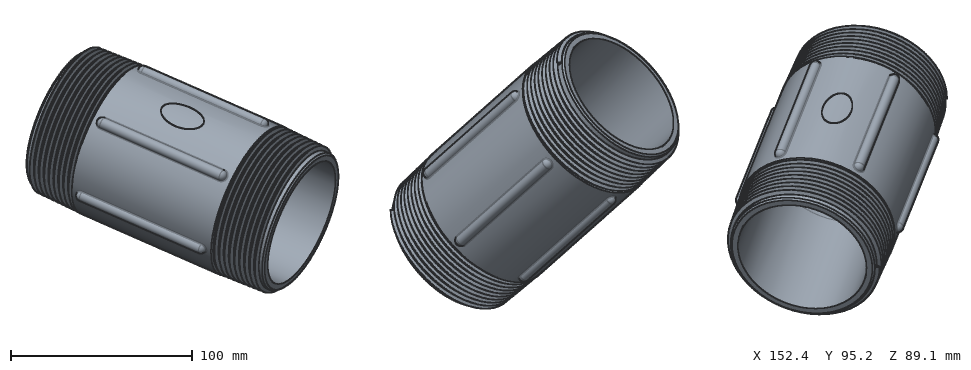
import cadquery as cq
import math

length = 152.4
bore_diameter = 73.2
grip_diameter = 88.8
grip_length = 89.0

end_root_radius = 41.0
end_chamfer = 1.0
taper_slope = 1 / 32
thread_turns = 9.5
thread_length = 30.2
thread_start = 2.6
ridge_height = 2.3
ridge_base_width = 2.3
ridge_crest_width = 0.2
ridge_sink = 0.5

rib_count = 6
rib_span = 95.2
rib_straight_length = 76.2
rib_fillet = 0.5

pad_length = 25.9
pad_width = 16.0
pad_height = 0.3

grip_radius = grip_diameter / 2
rib_radius = (rib_span - grip_diameter) / 2
end_length = (length - grip_length) / 2
thread_pitch = thread_length / thread_turns
inner_root_radius = end_root_radius + taper_slope * end_length


def bar_along_x(radius, bar_length):
    """Solid cylinder on the X axis, centred on the origin."""
    return cq.Workplane("YZ").circle(radius).extrude(bar_length / 2, both=True)


def make_rib():
    """Round-ended bar lying on the grip surface at +Y."""
    rib = bar_along_x(rib_radius, rib_straight_length).rotate((0, 0, 0), (1, 0, 0), 180)
    for side in (-1, 1):
        cap = cq.Workplane("XZ").sphere(rib_radius).rotate((0, 0, 0), (0, 1, 0), 90 * (1 + side))
        rib = rib.union(cap.translate((side * rib_straight_length / 2, 0, 0)))
    return rib.translate((0, grip_radius, 0))


def is_rib_foot(edge):
    """True for an edge where a rib meets the grip surface."""
    tolerance = 0.002
    points = [edge.positionAt(t) for t in (0, 0.5, 1)]
    on_surface = all(abs(math.hypot(p.y, p.z) - grip_radius) < tolerance for p in points)
    return on_surface and all(abs(p.x) < grip_length / 2 - rib_fillet for p in points)


def make_grip():
    """Smooth middle section with its ribs and their root fillets."""
    grip = bar_along_x(grip_radius, grip_length).rotate((0, 0, 0), (1, 0, 0), 180 / rib_count)
    rib = make_rib()
    for index in range(rib_count):
        grip = grip.union(rib.rotate((0, 0, 0), (1, 0, 0), index * 360 / rib_count))
    feet = [edge for edge in grip.edges().vals() if is_rib_foot(edge)]
    return grip.newObject(feet).fillet(rib_fillet)


def make_pad():
    """Oval plug from the pipe axis up to just above the grip at +Z, with a curved top."""
    oval = cq.Workplane("XY").ellipse(pad_length / 2, pad_width / 2).extrude(grip_diameter)
    return oval.intersect(bar_along_x(grip_radius + pad_height, grip_length))


def make_root_cone():
    """Chamfered, tapered core of the left end, reaching into the grip."""
    outline = [
        (-length / 2, 0),
        (-length / 2, end_root_radius - end_chamfer),
        (-length / 2 + end_chamfer, end_root_radius),
        (-grip_length / 2, inner_root_radius),
        (-grip_length / 2, 0),
    ]
    return cq.Workplane("XY").polyline(outline).close().revolve(360, (0, 0, 0), (1, 0, 0))


def make_thread_ridge():
    """Right-handed ridge of the left end, starting at +Y near the pipe end."""
    foot_radius = end_root_radius + taper_slope * thread_start - ridge_sink
    taper_angle = math.degrees(math.atan(taper_slope))
    path = cq.Wire.makeHelix(thread_pitch, thread_length, foot_radius, angle=taper_angle)
    half_base = ridge_base_width / 2
    half_crest = ridge_crest_width / 2
    profile = [
        (foot_radius, -half_base),
        (foot_radius + ridge_sink, -half_base),
        (foot_radius + ridge_sink + ridge_height, -half_crest),
        (foot_radius + ridge_sink + ridge_height, half_crest),
        (foot_radius + ridge_sink, half_base),
        (foot_radius, half_base),
    ]
    ridge = cq.Workplane("XZ").polyline(profile).close().sweep(cq.Workplane(obj=path), isFrenet=True)
    ridge = ridge.rotate((0, 0, 0), (0, 1, 0), 90).rotate((0, 0, 0), (1, 0, 0), 90)
    return ridge.translate((thread_start - length / 2, 0, 0))


left_end = make_root_cone().union(make_thread_ridge())
right_end = left_end.rotate((0, 0, 0), (0, 1, 0), 180)

nipple = make_grip().union(make_pad()).union(left_end).union(right_end)
result = nipple.cut(bar_along_x(bore_diameter / 2, length))